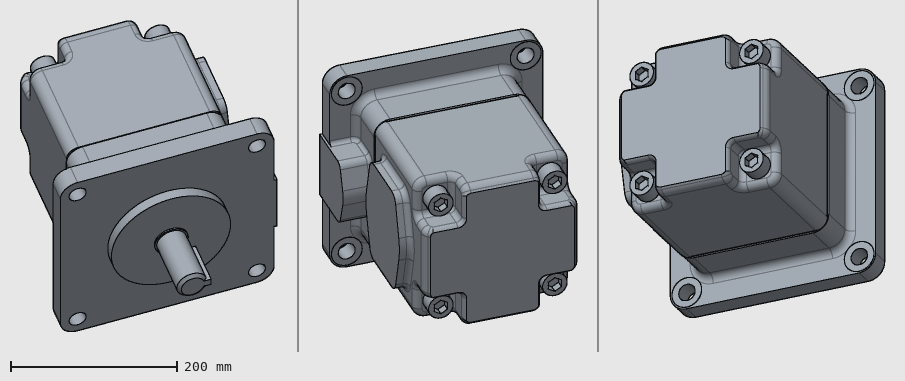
import cadquery as cq
import math


FLANGE_SIDE = 273.0
FLANGE_THICKNESS = 26.0
FLANGE_CORNER_RADIUS = 22.0
BOLT_OFFSET = 114.5
BOLT_HOLE_DIAMETER = 21.5
SPOTFACE_DIAMETER = 39.5
SPOTFACE_DEPTH = 0.5

SEAM_X = -82.8
BLOCK_SIDE = 200.5
BLOCK_CORNER_RADIUS = 21
BLOCK_FILLET = 9.8
BLOCK_EDGE_CHAMFER = 1.7

BOSS_TOP_Y = 140.0
BOSS_HALF_WIDTH = 43.0
BOSS_TIP_X = -84.2
BOSS_SHOULDER_X = -70.5
BOSS_TIP_RADIUS = 34.5
BOSS_SHOULDER_RADIUS = 10.0
BOSS_FILLET = 5.2

PILOT_DIAMETER = 152.3
PILOT_LENGTH = 13.3
COLLAR_DIAMETER = 42.5
COLLAR_LENGTH = 2.0
SHAFT_DIAMETER = 38.0
SHAFT_END_X = 91.5
SHAFT_CHAMFER = 4.2
KEY_START_X = 35.5
KEY_TOP_Y = 23.5
KEY_WIDTH = 9.5

REAR_X = -257.8
COVER_SIDE = 198.5
REAR_CHAMFER = 7
COVER_EDGE_RADIUS = 15.5
REAR_TRIM = 2.0

POCKET_WALL = 49.5
POCKET_FLOOR_X = -221.5
POCKET_INNER_RADIUS = 7.5
POCKET_RIM_RADIUS = 9.5

SCREW_OFFSET = 73.0
SCREW_DIAMETER = 31.5
SCREW_HEAD_HEIGHT = 20.3
SOCKET_ACROSS_FLATS = 16.8
SOCKET_DEPTH = 10.5

PAD_TOP_Y = 115.5
PAD_CENTER_X = -154.0
PAD_HALF_WIDTH = 68.5
PAD_TIP = 60.8
PAD_SHOULDER = 42.5
PAD_TIP_RADIUS = 61.5
PAD_SHOULDER_RADIUS = 14.5
PAD_FILLET = 7.5


def square_bar(side, start_x, end_x):
    """Square bar along the X axis."""
    return cq.Workplane("YZ", origin=(start_x, 0, 0)).rect(side, side).extrude(end_x - start_x)


def round_bar(diameter, start_x, end_x, y=0, z=0):
    """Cylinder parallel to the X axis."""
    return cq.Workplane("YZ", origin=(start_x, y, z)).circle(diameter / 2).extrude(end_x - start_x)


def corners(offset):
    """The four (y, z) places at an equal offset from the axis."""
    return [(y, z) for y in (-offset, offset) for z in (-offset, offset)]


def pad_prism(points, top_y):
    """Prism from the mid-plane up to top_y with the given (x, z) outline."""
    return cq.Workplane("XZ").polyline(points).close().extrude(-top_y)


def cut_behind(body, x):
    """Remove everything behind the plane at x."""
    return body.cut(square_bar(4 * FLANGE_SIDE, x - FLANGE_SIDE, x))


def edges_near(body, points):
    """The edges of the body that pass through the given points."""
    found = []
    for point in points:
        vertex = cq.Vertex.makeVertex(*point)
        found.append(min(body.val().Edges(), key=lambda edge: edge.distance(vertex)))
    return body.newObject(found)



def port_boss():
    boss = pad_prism(
        [
            (BOSS_TIP_X, 0),
            (BOSS_SHOULDER_X, BOSS_HALF_WIDTH),
            (0, BOSS_HALF_WIDTH),
            (0, -BOSS_HALF_WIDTH),
            (BOSS_SHOULDER_X, -BOSS_HALF_WIDTH),
        ],
        BOSS_TOP_Y,
    )
    boss = boss.edges("|Y").edges("<X").fillet(BOSS_TIP_RADIUS)
    shoulders = [(BOSS_SHOULDER_X, BOSS_TOP_Y / 2, z) for z in (-BOSS_HALF_WIDTH, BOSS_HALF_WIDTH)]
    return edges_near(boss, shoulders).fillet(BOSS_SHOULDER_RADIUS)


def flange():
    plate = square_bar(FLANGE_SIDE, -FLANGE_THICKNESS, 0)
    return plate.edges("|X").fillet(FLANGE_CORNER_RADIUS)


def housing_block(rear_x):
    return square_bar(BLOCK_SIDE, rear_x, 0).edges("|X").fillet(BLOCK_CORNER_RADIUS)


def filleted_casting():
    """Flange, block and boss, with the block left long so the foot fillet runs all round the boss."""
    half = BLOCK_SIDE / 2
    body = flange().union(housing_block(2 * SEAM_X))
    body = edges_near(body, [(-FLANGE_THICKNESS, 0, half)]).fillet(BLOCK_FILLET)
    body = body.union(port_boss())
    foot_x = (BOSS_SHOULDER_X - FLANGE_THICKNESS) / 2
    return edges_near(body, [(foot_x, half, BOSS_HALF_WIDTH)]).fillet(BOSS_FILLET)


def drive_shaft():
    collar_x = PILOT_LENGTH + COLLAR_LENGTH
    shaft = round_bar(SHAFT_DIAMETER, 0, SHAFT_END_X).faces(">X").chamfer(SHAFT_CHAMFER)
    key = cq.Workplane("XY").box(
        SHAFT_END_X - KEY_START_X, KEY_TOP_Y, KEY_WIDTH, centered=(False, False, True)
    )
    key = key.translate((KEY_START_X, 0, 0))
    pilot = round_bar(PILOT_DIAMETER, 0, PILOT_LENGTH)
    return pilot.union(round_bar(COLLAR_DIAMETER, 0, collar_x)).union(shaft).union(key)


def make_housing():
    chamfered_block = housing_block(SEAM_X).faces("<X").chamfer(BLOCK_EDGE_CHAMFER)
    body = cut_behind(filleted_casting(), SEAM_X + BLOCK_EDGE_CHAMFER)
    body = body.union(chamfered_block).union(port_boss())
    spotface_x = SPOTFACE_DEPTH - FLANGE_THICKNESS
    clear_x = -FLANGE_THICKNESS - BLOCK_FILLET
    for y, z in corners(BOLT_OFFSET):
        body = body.cut(round_bar(BOLT_HOLE_DIAMETER, -FLANGE_THICKNESS, 0, y, z))
        body = body.cut(round_bar(SPOTFACE_DIAMETER, clear_x, spotface_x, y, z))
    return body.union(drive_shaft())



def cover_block():
    block = square_bar(COVER_SIDE, REAR_X - REAR_TRIM, SEAM_X)
    block = block.faces("<X").chamfer(REAR_CHAMFER + REAR_TRIM)
    return block.edges("not(<X or >X)").fillet(COVER_EDGE_RADIUS)


def corner_pocket(y_side, z_side):
    """Tool for one corner pocket, rounded where its walls and floor meet."""
    size = COVER_SIDE
    tool = cq.Workplane("XY").box(size, size, size, centered=False)
    tool = tool.edges("|X and <Y and <Z").fillet(POCKET_INNER_RADIUS)
    tool = tool.faces(">X").edges("<Y or <Z").fillet(POCKET_INNER_RADIUS)
    tool = tool.translate((POCKET_FLOOR_X - size, POCKET_WALL, POCKET_WALL))
    if y_side < 0:
        tool = tool.mirror("XZ")
    if z_side < 0:
        tool = tool.mirror("XY")
    return tool


def screw_head(y, z):
    top_x = POCKET_FLOOR_X - SCREW_HEAD_HEIGHT
    head = round_bar(SCREW_DIAMETER, top_x, POCKET_FLOOR_X, y, z)
    socket = (
        cq.Workplane("YZ", origin=(top_x, y, z))
        .polygon(6, SOCKET_ACROSS_FLATS / math.cos(math.pi / 6))
        .extrude(SOCKET_DEPTH)
        .rotate((0, y, z), (1, y, z), 90)
    )
    return head.cut(socket)


def port_pad():
    points = [
        (PAD_CENTER_X - PAD_TIP, 0),
        (PAD_CENTER_X - PAD_SHOULDER, PAD_HALF_WIDTH),
        (PAD_CENTER_X + PAD_SHOULDER, PAD_HALF_WIDTH),
        (PAD_CENTER_X + PAD_TIP, 0),
        (PAD_CENTER_X + PAD_SHOULDER, -PAD_HALF_WIDTH),
        (PAD_CENTER_X - PAD_SHOULDER, -PAD_HALF_WIDTH),
    ]
    pad = pad_prism(points, PAD_TOP_Y)
    pad = pad.edges("|Y").edges("<X or >X").fillet(PAD_TIP_RADIUS)
    shoulders = [(x, PAD_TOP_Y / 2, z) for x, z in points if z != 0]
    return edges_near(pad, shoulders).fillet(PAD_SHOULDER_RADIUS)


def make_cover():
    cover = cover_block()
    for y, z in corners(1):
        cover = cover.cut(corner_pocket(y, z))
    half = COVER_SIDE / 2
    rims = []
    for y_side, z_side in corners(1):
        z = z_side * SCREW_OFFSET
        rims.append((POCKET_FLOOR_X, y_side * half, z))
        rims.append((REAR_X - REAR_TRIM, y_side * POCKET_WALL, z))
    cover = edges_near(cover, rims).fillet(POCKET_RIM_RADIUS)
    cover = cut_behind(cover, REAR_X)
    cover = cover.union(port_pad())
    cover = edges_near(cover, [(PAD_CENTER_X, half, PAD_HALF_WIDTH)]).fillet(PAD_FILLET)
    for y, z in corners(SCREW_OFFSET):
        cover = cover.union(screw_head(y, z))
    return cover


housing = make_housing()
cover = make_cover()
result = cq.Compound.makeCompound([housing.solids().val(), cover.solids().val()])